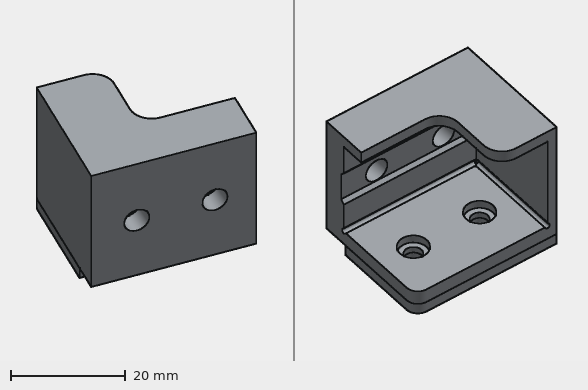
import cadquery as cq
import math


length_x = 25.47
depth_y = 31.0
plate_thickness = 2.3
plate_length = 20.0
corner_radius = 2.5

floor_thickness = 3.0
cavity_height = 20.15
roof_thickness = 2.38
end_wall = 2.0
side_wall = 5.0

floor_top = plate_thickness + floor_thickness
roof_bottom = floor_top + cavity_height
housing_height = floor_thickness + cavity_height + roof_thickness
side_face = length_x - side_wall

notch_length = 15.47
notch_front = 12.93
notch_radius = 4.07

groove_depth = 0.75
groove_mouth = 7.42
groove_middle = floor_top + cavity_height / 2

relief_radius = 0.5
relief_blend = 0.5

floor_hole_pitch = 14.5
floor_hole_x = 10.0
floor_hole_y = 9.24
floor_hole_diameter = 3.5
counterbore_diameter = 5.8
counterbore_depth = 1.7
side_hole_y = 8.56
side_hole_pitch = 14.67
side_hole_z = 14.9
side_hole_diameter = 4.7


def block(x_start, x_end, y_start, y_end, z_start, z_end):
    """Box between two opposite corners."""
    size = (x_end - x_start, y_end - y_start, z_end - z_start)
    return cq.Workplane("XY").box(*size, centered=False).translate((x_start, y_start, z_start))


def floor_hole_cutters(diameter, z_start, z_end):
    """Vertical cylinders at both floor screw positions."""
    points = [(floor_hole_x, floor_hole_y + i * floor_hole_pitch) for i in range(2)]
    plane = cq.Workplane("XY").workplane(offset=z_start)
    return plane.pushPoints(points).circle(diameter / 2).extrude(z_end - z_start)


def roof_notch():
    """S-shaped cut-out that opens the roof above the floor counterbore."""
    r = notch_radius
    return (
        cq.Workplane("XY").workplane(offset=roof_bottom)
        .moveTo(0, depth_y)
        .lineTo(0, notch_front - r)
        .radiusArc((r, notch_front), r)
        .lineTo(notch_length - r, notch_front)
        .radiusArc((notch_length, notch_front + r), -r)
        .lineTo(notch_length, depth_y)
        .close()
        .extrude(roof_thickness)
    )


def side_groove():
    """Trapezoidal groove along Y in the inner face of the side wall."""
    half_mouth = groove_mouth / 2
    half_bottom = half_mouth - groove_depth
    bottom_x = side_face + groove_depth
    return (
        cq.Workplane("XZ", origin=(0, depth_y, 0))
        .moveTo(side_face, groove_middle - half_mouth)
        .lineTo(bottom_x, groove_middle - half_bottom)
        .lineTo(bottom_x, groove_middle + half_bottom)
        .lineTo(side_face, groove_middle + half_mouth)
        .close()
        .extrude(depth_y - end_wall)
    )


def edge_relief(plane, run):
    """Relief channel centred on an inside corner; local +x goes into the wall, -y into the floor.

    A round bottom meets each face through a convex blend arc.
    """
    r = relief_radius
    b = relief_blend
    height = math.sqrt((r + b) ** 2 - b ** 2)
    join_x = b * r / (r + b)
    join_y = height * r / (r + b)
    half_angle = math.atan2(height, b) / 2
    mid_x = b - b * math.cos(half_angle)
    mid_y = height - b * math.sin(half_angle)
    deep = r * math.sqrt(0.5)
    return (
        cq.Workplane(plane)
        .moveTo(0, 0)
        .lineTo(0, height)
        .threePointArc((mid_x, mid_y), (join_x, join_y))
        .threePointArc((deep, -deep), (-join_y, -join_x))
        .threePointArc((-mid_y, -mid_x), (-height, 0))
        .close()
        .extrude(run)
    )


def side_relief():
    """Relief along Y between the floor and the side wall."""
    plane = cq.Plane(origin=(side_face, depth_y, floor_top), xDir=(1, 0, 0), normal=(0, -1, 0))
    return edge_relief(plane, depth_y - end_wall)


def end_relief():
    """Relief along X between the floor and the end wall."""
    plane = cq.Plane(origin=(side_face, end_wall, floor_top), xDir=(0, -1, 0), normal=(-1, 0, 0))
    return edge_relief(plane, side_face)


def side_holes():
    """Screw holes through the side wall, along X."""
    points = [(side_hole_y + i * side_hole_pitch, side_hole_z) for i in range(2)]
    plane = cq.Workplane("YZ").workplane(offset=side_face)
    return plane.pushPoints(points).circle(side_hole_diameter / 2).extrude(side_wall)


def make_base_plate():
    """Flat plate under the housing floor."""
    plate = block(0, plate_length, 0, depth_y, 0, plate_thickness)
    plate = plate.edges("|Z and <X and >Y").fillet(corner_radius)
    return plate.cut(floor_hole_cutters(floor_hole_diameter, 0, plate_thickness))


def make_housing():
    """Floor, end wall, side wall and notched roof around an open cavity."""
    top = plate_thickness + housing_height
    housing = block(0, length_x, 0, depth_y, plate_thickness, top)
    housing = housing.edges("|Z and <X and >Y").fillet(corner_radius)
    housing = housing.cut(block(0, side_face, end_wall, depth_y, floor_top, roof_bottom))
    housing = housing.cut(roof_notch())
    housing = housing.cut(side_groove())
    housing = housing.cut(side_relief())
    housing = housing.cut(end_relief())
    housing = housing.cut(side_holes())
    housing = housing.cut(floor_hole_cutters(floor_hole_diameter, plate_thickness, floor_top))
    counterbore_bottom = floor_top - counterbore_depth
    return housing.cut(floor_hole_cutters(counterbore_diameter, counterbore_bottom, floor_top))


base_plate = make_base_plate()
housing = make_housing()

result = cq.Compound.makeCompound([base_plate.val(), housing.val()])